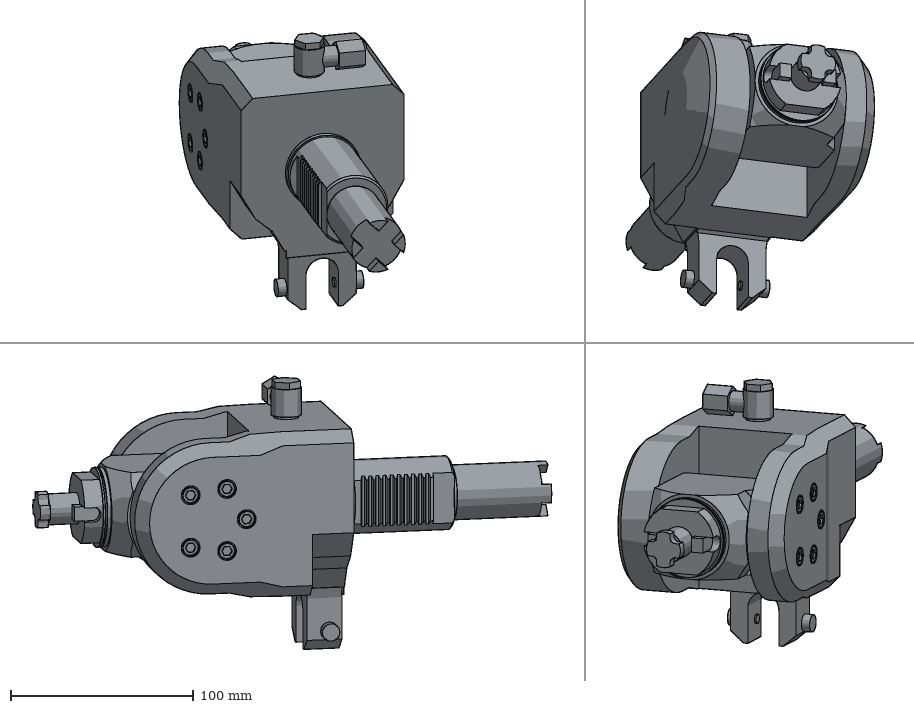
import cadquery as cq
import math


SWIVEL_X = -80.0
FORK_RADIUS = 42.3
BODY_HALF_HEIGHT = 46.0
BODY_BACK_Y = 46.3
BODY_FRONT_Y = -46.3
FORK_FRONT_Y = -50.3
EDGE_SUM = 85.7
FLARE_START_X = -69.0
FLARE_END_X = -57.0
FLARE_HALF_HEIGHT = 45.5
BODY_START_X = -39.7
CHEEK_END_X = -53.5
POCKET_END_X = -55.7
GAP_FRONT_Y = -31.0
GAP_BACK_Y = 24.0
DOME_TOP_Y = 52.5
DOME_TOP_RADIUS = 19.0

SCREW_CIRCLE_RADIUS = 19.0
SCREW_ANGLES = (0, 65, 130, -65, -130)
SCREW_RECESS_RADIUS = 5.0
SCREW_RECESS_DEPTH = 1.0
SCREW_HEAD_RADIUS = 4.3
SCREW_SOCKET_SIZE = 5.7

HEAD_NOSE_X = -130.8
HEAD_HALF_HEIGHT = 23.7
HEAD_NOSE_RADIUS = 24.0
HEAD_CONE_LENGTH = 22.8
CORNER_CUT_Y = -24.8
CORNER_CUT_Z = 14.3
CORNER_CUT_END_X = -109.5

SEAL_FRONT_X = -135.0
SEAL_RADIUS = 22.0
SEAL_GROOVE_RADIUS = 20.5
SEAL_GROOVE_X = -134.0
SEAL_GROOVE_WIDTH = 1.0
COLLAR_FRONT_X = -145.3
COLLAR_RADIUS = 20.8
COLLAR_HALF_HEIGHT = 17.7
KEY_HALF_WIDTH = 4.0
KEY_FRONT_X = -150.2
KEYWAY_END_X = -136.2
KEY_INNER_Y = 9.5
KEY_OUTER_Y = 16.3
SPINDLE_RADIUS = 8.5
SPINDLE_FRONT_X = -162.2
TIP_X = -168.0
TIP_RADIUS = 10.0
TIP_FILLET = 2.9

RING_RADIUS = 21.0
RING_LENGTH = 2.9
SHANK_RADIUS = 20.3
SHANK_END_X = 63.0
SHANK_CHAMFER = 1.0
NECK_RADIUS = 14.3
TAIL_START_X = 64.8
TAIL_RADIUS = 15.0
TAIL_END_X = 117.6
DOG_HEIGHT = 5.5
DOG_SLOT_WIDTH = 12.5

RACK_START_X = 6.5
RACK_TIP_Y = -16.3
RACK_ROOT_Y = -14.5
RACK_PITCH = 4.0
TOOTH_COUNT = 10
FIRST_GROOVE_X = 12.0
GROOVE_ROOT_WIDTH = 1.5
GROOVE_TIP_WIDTH = 3.0
RACK_END_X = 51.0

ELBOW_X = -28.0
ELBOW_RADIUS = 8.3
ELBOW_FOOT_RADIUS = 6.9
ELBOW_BOTTOM_Z = 47.5
ELBOW_TOP_Z = 62.8
CAP_TOP_Z = 66.5
BRANCH_Z = 54.8
BRANCH_RADIUS = 5.7
NUT_START_Y = 15.0
NUT_END_Y = 30.0

BRACKET_FRONT_X = -20.5
BRACKET_BACK_X = -0.9
BRACKET_HALF_WIDTH = 19.5
BRACKET_BOTTOM_Z = -82.0
BRACKET_TIP_Y = 11.7
BRACKET_BEVEL_Z = -75.5
BRACKET_SLOT_HALF_WIDTH = 9.0
BRACKET_SLOT_TOP_Z = -52.8
BRACKET_ROOT_HALF_WIDTH = 20.5
BRACKET_ROOT_BEVEL = 1.7
FLARE_ARC_MIDDLE = (19.7, -50.3)
FLARE_ARC_END_Z = -54.5
STOP_PLATE_THICKNESS = 1.0
STOP_PLATE_BOTTOM_Z = -50.3
PIN_X = -8.0
PIN_Z = -70.5
PIN_RADIUS = 4.9
PIN_END_Y = 24.3
PIN_TIP_RADIUS = 2.5
PIN_TIP_Y = 8.3

RELIEF_FRONT_X = -23.0
RELIEF_TOP_Z = -10.9
RELIEF_BEND = (-38.0, -25.5)
RELIEF_STEP = (-28.3, -34.0)
RELIEF_ARC_START = (-22.5, -44.3)
RELIEF_ARC_MIDDLE = (-20.3, -49.0)


def block(x_range, y_range, z_range):
    """Box between two limits on each axis."""
    sizes = [high - low for low, high in (x_range, y_range, z_range)]
    corner = (x_range[0], y_range[0], z_range[0])
    return cq.Workplane("XY").box(*sizes, centered=False).translate(corner)


def rod_x(x_start, x_end, radius):
    """Cylinder on the shank axis."""
    return cq.Workplane("YZ").workplane(offset=x_start).circle(radius).extrude(x_end - x_start)


def plane_y(x, y, z):
    """Workplane facing +Y, with local x along X and local y along -Z."""
    return cq.Workplane(cq.Plane(origin=(x, y, z), xDir=(1, 0, 0), normal=(0, 1, 0)))


def prism_x(points, x_start, x_end):
    """Prism along X of a (y, z) polygon."""
    return cq.Workplane("YZ").workplane(offset=x_start).polyline(points).close().extrude(x_end - x_start)


def make_housing():
    upper = [
        (SWIVEL_X, FORK_RADIUS),
        (FLARE_START_X, FORK_RADIUS),
        (FLARE_END_X, FLARE_HALF_HEIGHT),
        (BODY_START_X, BODY_HALF_HEIGHT),
        (0, BODY_HALF_HEIGHT),
    ]
    lower = [(x, -z) for x, z in reversed(upper)]
    outline = cq.Workplane("XZ", origin=(0, BODY_BACK_Y, 0)).polyline(upper + lower).close()
    housing = outline.extrude(BODY_BACK_Y - FORK_FRONT_Y)

    front_z = EDGE_SUM + FORK_FRONT_Y
    back_z = EDGE_SUM - BODY_BACK_Y
    bevel_y = EDGE_SUM - BODY_HALF_HEIGHT
    section_top = [
        (FORK_FRONT_Y, front_z),
        (-bevel_y, BODY_HALF_HEIGHT),
        (bevel_y, BODY_HALF_HEIGHT),
        (BODY_BACK_Y, back_z),
    ]
    section = section_top + [(y, -z) for y, z in reversed(section_top)]
    housing = housing.intersect(prism_x(section, SWIVEL_X, 0))

    nose_bevel_y = EDGE_SUM - FORK_RADIUS
    nose_profile = [
        (0, FORK_FRONT_Y),
        (front_z, FORK_FRONT_Y),
        (FORK_RADIUS, -nose_bevel_y),
        (FORK_RADIUS, nose_bevel_y),
        (back_z, BODY_BACK_Y),
        (DOME_TOP_RADIUS, DOME_TOP_Y),
        (0, DOME_TOP_Y),
    ]
    nose = cq.Workplane("XY").polyline(nose_profile).close()
    nose = nose.revolve(360, (0, 0, 0), (0, 1, 0)).translate((SWIVEL_X, 0, 0))
    housing = housing.union(nose)

    shoulder = cq.Workplane("XY").workplane(offset=-BODY_HALF_HEIGHT).polyline([
        (CHEEK_END_X, FORK_FRONT_Y),
        (BODY_START_X, BODY_FRONT_Y),
        (0, BODY_FRONT_Y),
        (0, FORK_FRONT_Y),
    ]).close().extrude(2 * BODY_HALF_HEIGHT)
    housing = housing.cut(shoulder)

    gap = block(
        (SWIVEL_X - FORK_RADIUS, POCKET_END_X),
        (GAP_FRONT_Y, GAP_BACK_Y),
        (-BODY_HALF_HEIGHT, BODY_HALF_HEIGHT),
    )
    return housing.cut(gap)


def cut_cheek_screws(housing):
    for angle in SCREW_ANGLES:
        x = SWIVEL_X + SCREW_CIRCLE_RADIUS * math.cos(math.radians(angle))
        z = SCREW_CIRCLE_RADIUS * math.sin(math.radians(angle))
        face = plane_y(x, FORK_FRONT_Y, z)
        gap_ring = face.circle(SCREW_RECESS_RADIUS).circle(SCREW_HEAD_RADIUS).extrude(SCREW_RECESS_DEPTH)
        socket = face.polygon(6, SCREW_SOCKET_SIZE).extrude(SCREW_RECESS_DEPTH)
        housing = housing.cut(gap_ring).cut(socket)
    return housing


def make_head():
    y_range = (GAP_FRONT_Y, GAP_BACK_Y)
    z_range = (-HEAD_HALF_HEIGHT, HEAD_HALF_HEIGHT)
    head = block((HEAD_NOSE_X, SWIVEL_X), y_range, z_range)

    cone_end_x = HEAD_NOSE_X + HEAD_CONE_LENGTH
    cone_end_radius = HEAD_NOSE_RADIUS + HEAD_CONE_LENGTH
    envelope = cq.Workplane("XY").polyline([
        (HEAD_NOSE_X, 0),
        (HEAD_NOSE_X, HEAD_NOSE_RADIUS),
        (cone_end_x, cone_end_radius),
        (SWIVEL_X, cone_end_radius),
        (SWIVEL_X, 0),
    ]).close().revolve(360, (0, 0, 0), (1, 0, 0))
    head = head.intersect(envelope)

    run_out = CORNER_CUT_Y - GAP_FRONT_Y
    plan = cq.Workplane("XY").workplane(offset=-HEAD_HALF_HEIGHT).polyline([
        (HEAD_NOSE_X, CORNER_CUT_Y),
        (CORNER_CUT_END_X, CORNER_CUT_Y),
        (CORNER_CUT_END_X + run_out, GAP_FRONT_Y),
        (HEAD_NOSE_X, GAP_FRONT_Y),
    ]).close().extrude(2 * HEAD_HALF_HEIGHT)
    for side in (1, -1):
        corner = prism_x([
            (CORNER_CUT_Y, side * HEAD_HALF_HEIGHT),
            (GAP_FRONT_Y, side * HEAD_HALF_HEIGHT),
            (GAP_FRONT_Y, side * CORNER_CUT_Z),
        ], HEAD_NOSE_X, SWIVEL_X)
        head = head.cut(corner.intersect(plan))

    hub = plane_y(SWIVEL_X, GAP_FRONT_Y, 0).circle(HEAD_HALF_HEIGHT).extrude(GAP_BACK_Y - GAP_FRONT_Y)
    return head.union(hub)


def make_spindle():
    seal = rod_x(SEAL_FRONT_X, HEAD_NOSE_X, SEAL_RADIUS)
    groove = cq.Workplane("YZ").workplane(offset=SEAL_GROOVE_X)
    groove = groove.circle(SEAL_RADIUS).circle(SEAL_GROOVE_RADIUS).extrude(SEAL_GROOVE_WIDTH)
    seal = seal.cut(groove)

    collar = rod_x(COLLAR_FRONT_X, SEAL_FRONT_X, COLLAR_RADIUS)
    collar = collar.intersect(block(
        (COLLAR_FRONT_X, SEAL_FRONT_X),
        (-COLLAR_RADIUS, COLLAR_RADIUS),
        (-COLLAR_HALF_HEIGHT, COLLAR_HALF_HEIGHT),
    ))

    key_z = (-KEY_HALF_WIDTH, KEY_HALF_WIDTH)
    keyway_arc_x = KEYWAY_END_X - KEY_HALF_WIDTH
    keyway_depth = COLLAR_RADIUS - KEY_OUTER_Y
    for side in (1, -1):
        outer_y = tuple(sorted((side * KEY_OUTER_Y, side * COLLAR_RADIUS)))
        key_y = tuple(sorted((side * KEY_INNER_Y, side * KEY_OUTER_Y)))
        keyway = block((COLLAR_FRONT_X, keyway_arc_x), outer_y, key_z)
        keyway_end = plane_y(keyway_arc_x, outer_y[0], 0).circle(KEY_HALF_WIDTH).extrude(keyway_depth)
        key = block((KEY_FRONT_X, COLLAR_FRONT_X), key_y, key_z)
        collar = collar.cut(keyway).cut(keyway_end).union(key)

    spindle = rod_x(SPINDLE_FRONT_X, COLLAR_FRONT_X, SPINDLE_RADIUS)

    tip_length = SPINDLE_FRONT_X - TIP_X
    tip_face = cq.Workplane("YZ").workplane(offset=TIP_X)
    cross = tip_face.rect(2 * TIP_RADIUS, 2 * KEY_HALF_WIDTH).extrude(tip_length)
    cross = cross.union(tip_face.rect(2 * KEY_HALF_WIDTH, 2 * TIP_RADIUS).extrude(tip_length))
    inner_edges = cq.selectors.BoxSelector(
        (TIP_X, -KEY_HALF_WIDTH - TIP_FILLET / 2, -KEY_HALF_WIDTH - TIP_FILLET / 2),
        (SPINDLE_FRONT_X, KEY_HALF_WIDTH + TIP_FILLET / 2, KEY_HALF_WIDTH + TIP_FILLET / 2),
    )
    cross = cross.edges("|X").edges(inner_edges).fillet(TIP_FILLET)
    cross = cross.intersect(rod_x(TIP_X, SPINDLE_FRONT_X, TIP_RADIUS))
    return seal.union(collar).union(spindle).union(cross)


def make_shank():
    shank = rod_x(0, SHANK_END_X, SHANK_RADIUS).faces(">X").chamfer(SHANK_CHAMFER)
    shank = shank.union(rod_x(0, RING_LENGTH, RING_RADIUS))

    z_range = (-SHANK_RADIUS, SHANK_RADIUS)
    shank = shank.cut(block((RACK_START_X, RACK_END_X), (-SHANK_RADIUS, RACK_TIP_Y), z_range))
    shank = shank.cut(block((RACK_END_X, SHANK_END_X), (-SHANK_RADIUS, RACK_ROOT_Y), z_range))
    for index in range(TOOTH_COUNT):
        x = FIRST_GROOVE_X + index * RACK_PITCH
        groove = cq.Workplane("XY").workplane(offset=-SHANK_RADIUS).polyline([
            (x - GROOVE_TIP_WIDTH / 2, RACK_TIP_Y),
            (x - GROOVE_ROOT_WIDTH / 2, RACK_ROOT_Y),
            (x + GROOVE_ROOT_WIDTH / 2, RACK_ROOT_Y),
            (x + GROOVE_TIP_WIDTH / 2, RACK_TIP_Y),
        ]).close().extrude(2 * SHANK_RADIUS)
        shank = shank.cut(groove)

    neck = rod_x(SHANK_END_X, TAIL_START_X, NECK_RADIUS)

    tail = rod_x(TAIL_START_X, TAIL_END_X, TAIL_RADIUS)
    for angle in (45, 135):
        slot = cq.Workplane("YZ").workplane(offset=TAIL_END_X - DOG_HEIGHT)
        slot = slot.rect(3 * TAIL_RADIUS, DOG_SLOT_WIDTH).extrude(DOG_HEIGHT)
        tail = tail.cut(slot.rotate((0, 0, 0), (1, 0, 0), angle))
    return shank.union(neck).union(tail)


def make_elbow():
    foot = cq.Workplane("XY").center(ELBOW_X, 0).circle(ELBOW_FOOT_RADIUS).extrude(ELBOW_BOTTOM_Z)
    post = cq.Workplane("XY", origin=(ELBOW_X, 0, ELBOW_BOTTOM_Z))
    post = post.circle(ELBOW_RADIUS).extrude(ELBOW_TOP_Z - ELBOW_BOTTOM_Z)
    cap = cq.Workplane("XY").polygon(6, 2 * ELBOW_RADIUS).extrude(CAP_TOP_Z - ELBOW_TOP_Z)
    cap = cap.rotate((0, 0, 0), (0, 0, 1), 90).translate((ELBOW_X, 0, ELBOW_TOP_Z))
    branch = plane_y(ELBOW_X, 0, BRANCH_Z).circle(BRANCH_RADIUS).extrude(NUT_START_Y)
    nut = plane_y(0, 0, 0).polygon(6, 2 * ELBOW_RADIUS).extrude(NUT_END_Y - NUT_START_Y)
    nut = nut.rotate((0, 0, 0), (0, 1, 0), 90).translate((ELBOW_X, NUT_START_Y, BRANCH_Z))
    return foot.union(post).union(cap).union(branch).union(nut)


def cut_bracket_relief(housing):
    """Hollow the lower rear edges of the housing on both sides of the bracket."""
    relief = cq.Workplane("YZ").workplane(offset=RELIEF_FRONT_X)
    relief = relief.moveTo(BODY_FRONT_Y, RELIEF_TOP_Z).lineTo(*RELIEF_BEND).lineTo(*RELIEF_STEP)
    relief = relief.lineTo(*RELIEF_ARC_START)
    relief = relief.threePointArc(RELIEF_ARC_MIDDLE, (-BRACKET_HALF_WIDTH, FLARE_ARC_END_Z))
    relief = relief.lineTo(BODY_FRONT_Y, FLARE_ARC_END_Z).close().extrude(-RELIEF_FRONT_X)
    return housing.cut(relief).cut(relief.mirror("XZ"))


def make_bracket():
    x_range = (BRACKET_FRONT_X, BRACKET_BACK_X)
    middle_y, middle_z = FLARE_ARC_MIDDLE
    bracket = cq.Workplane("YZ").workplane(offset=BRACKET_FRONT_X)
    bracket = bracket.moveTo(BRACKET_ROOT_HALF_WIDTH, -BODY_HALF_HEIGHT)
    bracket = bracket.threePointArc((middle_y, middle_z), (BRACKET_HALF_WIDTH, FLARE_ARC_END_Z))
    bracket = bracket.lineTo(BRACKET_HALF_WIDTH, BRACKET_BEVEL_Z)
    bracket = bracket.lineTo(BRACKET_TIP_Y, BRACKET_BOTTOM_Z)
    bracket = bracket.lineTo(-BRACKET_TIP_Y, BRACKET_BOTTOM_Z)
    bracket = bracket.lineTo(-BRACKET_HALF_WIDTH, BRACKET_BEVEL_Z)
    bracket = bracket.lineTo(-BRACKET_HALF_WIDTH, FLARE_ARC_END_Z)
    bracket = bracket.threePointArc((-middle_y, middle_z), (-BRACKET_ROOT_HALF_WIDTH, -BODY_HALF_HEIGHT))
    bracket = bracket.close().extrude(BRACKET_BACK_X - BRACKET_FRONT_X)

    root = cq.Workplane("XZ", origin=(0, BRACKET_ROOT_HALF_WIDTH, 0)).polyline([
        (BRACKET_FRONT_X, -BODY_HALF_HEIGHT),
        (BRACKET_FRONT_X - BRACKET_ROOT_BEVEL, -BODY_HALF_HEIGHT),
        (BRACKET_FRONT_X, -BODY_HALF_HEIGHT - BRACKET_ROOT_BEVEL),
    ]).close().extrude(2 * BRACKET_ROOT_HALF_WIDTH)
    plate = block(
        (-STOP_PLATE_THICKNESS, 0),
        (-BRACKET_ROOT_HALF_WIDTH, BRACKET_ROOT_HALF_WIDTH),
        (STOP_PLATE_BOTTOM_Z, -BODY_HALF_HEIGHT),
    )
    bracket = bracket.union(root).union(plate)

    slot_arc_z = BRACKET_SLOT_TOP_Z - BRACKET_SLOT_HALF_WIDTH
    slot_y = (-BRACKET_SLOT_HALF_WIDTH, BRACKET_SLOT_HALF_WIDTH)
    slot = block(x_range, slot_y, (BRACKET_BOTTOM_Z, slot_arc_z))
    slot_end = cq.Workplane("YZ").workplane(offset=BRACKET_FRONT_X).center(0, slot_arc_z)
    slot_end = slot_end.circle(BRACKET_SLOT_HALF_WIDTH).extrude(BRACKET_BACK_X - BRACKET_FRONT_X)
    bracket = bracket.cut(slot).cut(slot_end)

    leg_middle_y = (BRACKET_HALF_WIDTH + BRACKET_SLOT_HALF_WIDTH) / 2
    head = plane_y(PIN_X, leg_middle_y, PIN_Z).circle(PIN_RADIUS).extrude(PIN_END_Y - leg_middle_y)
    tip = plane_y(PIN_X, PIN_TIP_Y, PIN_Z).circle(PIN_TIP_RADIUS).extrude(leg_middle_y - PIN_TIP_Y)
    pin = head.union(tip)
    return bracket.union(pin).union(pin.mirror("XZ"))


housing = make_housing()
housing = cut_cheek_screws(housing)
housing = cut_bracket_relief(housing)
result = housing.union(make_bracket())
for component in (make_head(), make_spindle(), make_shank(), make_elbow()):
    result = result.union(component)